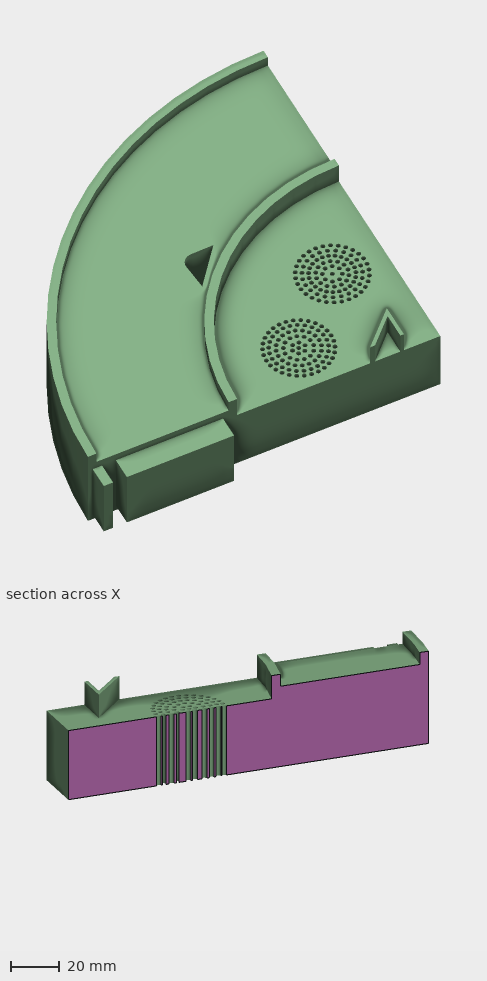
import cadquery as cq
import math

outer_radius = 161.5
side_x = -1.0
back_y = 0.0
total_height = 41.0

wall_thickness = 4.0
ring_outer_radius = 97.0
ring_inner_radius = ring_outer_radius - wall_thickness
rim_inner_radius = outer_radius - wall_thickness
track_height = 35.7
floor_height = 30.7

tab_length = 10.0
tab_bottom = 2.9
tab_top = 31.9
wide_tab_span = (-148.8, -99.6)
narrow_tab_span = (-159.4, -155.1)

vee_apex_x = -16.5
vee_apex_y = -16.7
vee_thickness = 1.62

opening_top = (-82.4, -63.0)
opening_tip = (-64.8, -77.0)
opening_corner = (-82.0, -78.5)
opening_corner_radius = 4.8

perforation_diameter = 2.0
disc_a_center = (-50.5, -24.5)
disc_a_rings = [(4.1, 8, 19), (6.8, 14, 6), (9.7, 23, 6), (12.5, 23, 6), (15.2, 30, 0)]
disc_b_center = (-21.5, -54.6)
disc_b_rings = [(2.9, 6, 32), (6.3, 13, 22), (9.4, 20, 0), (12.3, 25, 12), (14.8, 30, 6)]


def quarter_disc(radius, bottom, top):
    """Disc limited to the quadrant between the side face and the back face."""
    side_y = -math.sqrt(radius**2 - side_x**2)
    middle = (-radius * math.sqrt(0.5), -radius * math.sqrt(0.5))
    return (
        cq.Workplane("XY", origin=(0, 0, bottom))
        .moveTo(side_x, back_y)
        .lineTo(-radius, back_y)
        .threePointArc(middle, (side_x, side_y))
        .close()
        .extrude(top - bottom)
    )


def make_body():
    body = quarter_disc(outer_radius, 0, track_height)
    body = body.cut(quarter_disc(ring_inner_radius, floor_height, total_height))
    for outer, inner in (
        (outer_radius, rim_inner_radius),
        (ring_outer_radius, ring_inner_radius),
    ):
        wall = quarter_disc(outer, floor_height, total_height)
        body = body.union(wall.cut(quarter_disc(inner, floor_height, total_height)))
    return body


def make_tab(y_span):
    far_y, near_y = y_span
    return (
        cq.Workplane("XY", origin=(side_x, far_y, tab_bottom))
        .box(tab_length, near_y - far_y, tab_top - tab_bottom, centered=False)
    )


def vee_triangle(apex_x, apex_y):
    """Right triangle between the side face, a wall along X and a 45 degree wall."""
    leg = side_x - apex_x
    return (
        cq.Workplane("XY", origin=(0, 0, floor_height))
        .polyline([(apex_x, apex_y), (side_x, apex_y), (side_x, apex_y - leg)])
        .close()
        .extrude(total_height - floor_height)
    )


def make_vee_wall():
    apex_shift = vee_thickness / math.tan(math.radians(45 / 2))
    inside = vee_triangle(vee_apex_x + apex_shift, vee_apex_y - vee_thickness)
    return vee_triangle(vee_apex_x, vee_apex_y).cut(inside)


def make_opening():
    opening = (
        cq.Workplane("XY")
        .polyline([opening_top, opening_tip, opening_corner])
        .close()
        .extrude(total_height)
    )
    corner_edge = cq.selectors.NearestToPointSelector((*opening_corner, total_height / 2))
    return opening.edges("|Z").edges(corner_edge).fillet(opening_corner_radius)


def make_perforations(center, rings):
    center_x, center_y = center
    points = [center]
    for radius, count, first_angle in rings:
        for index in range(count):
            angle = math.radians(first_angle + 360 * index / count)
            hole_x = center_x + radius * math.cos(angle)
            hole_y = center_y + radius * math.sin(angle)
            points.append((hole_x, hole_y))
    return (
        cq.Workplane("XY")
        .pushPoints(points)
        .circle(perforation_diameter / 2)
        .extrude(total_height)
    )


result = make_body()
result = result.union(make_tab(wide_tab_span)).union(make_tab(narrow_tab_span))
result = result.union(make_vee_wall())
result = result.cut(make_opening())
result = result.cut(make_perforations(disc_a_center, disc_a_rings))
result = result.cut(make_perforations(disc_b_center, disc_b_rings))